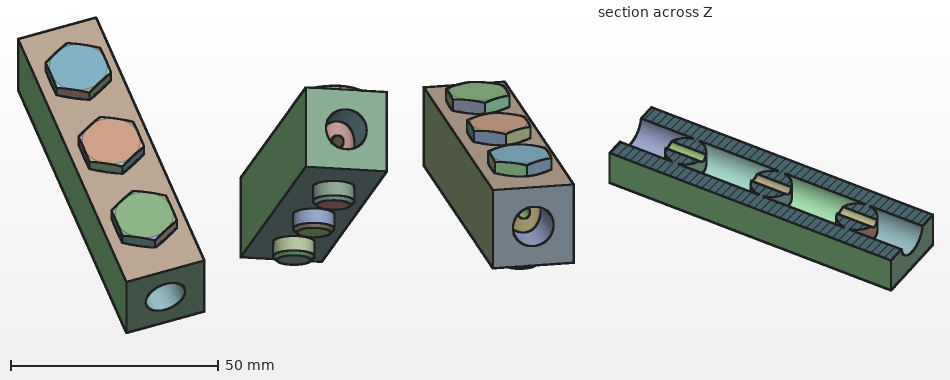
import cadquery as cq
import math

block_length = 79.0
block_width = 20.0

bolt_count = 3
bolt_spacing = 24.0
bolt_diameter = 10.0
tip_length = 4.6
tip_chamfer = 0.95

head_sides = 6
head_flats = 14.0
head_height = 3.4
crown_angle = 15.0

bore_diameter = bolt_diameter
cross_hole_diameter = 3.0

head_corners = head_flats / math.cos(math.pi / head_sides)
bore_height = block_width / 2
head_top = block_width + head_height


def x_cylinder(diameter):
    """Cylinder along the full block length, on the bore axis."""
    return (
        cq.Workplane("YZ", origin=(-block_length / 2, 0, bore_height))
        .circle(diameter / 2)
        .extrude(block_length)
    )


def head():
    """Hexagonal head with its corners trimmed to a cone above and below."""
    hexagon = (
        cq.Workplane("XY", origin=(0, 0, block_width))
        .polygon(head_sides, head_corners)
        .extrude(head_height)
    )
    corner_radius = head_corners / 2
    crown_radius = head_flats / 2
    crown_drop = (corner_radius - crown_radius) * math.tan(math.radians(crown_angle))
    crown = (
        cq.Workplane("XZ")
        .moveTo(0, block_width)
        .lineTo(crown_radius, block_width)
        .lineTo(corner_radius, block_width + crown_drop)
        .lineTo(corner_radius, head_top - crown_drop)
        .lineTo(crown_radius, head_top)
        .lineTo(0, head_top)
        .close()
        .revolve(axisStart=(0, 0, 0), axisEnd=(0, 1, 0))
    )
    return hexagon.intersect(crown)


def bolt():
    """Chamfered shank with a hexagonal head, on the Z axis."""
    shank = (
        cq.Workplane("XY", origin=(0, 0, -tip_length))
        .circle(bolt_diameter / 2)
        .extrude(tip_length + block_width)
        .faces("<Z")
        .chamfer(tip_chamfer)
    )
    return shank.union(head())


block = cq.Workplane("XY").box(
    block_length, block_width, block_width, centered=(True, True, False)
)

result = block.cut(x_cylinder(bore_diameter))
for index in range(bolt_count):
    bolt_x = (index - (bolt_count - 1) / 2) * bolt_spacing
    result = result.union(bolt().translate((bolt_x, 0, 0)))

result = result.cut(x_cylinder(cross_hole_diameter))